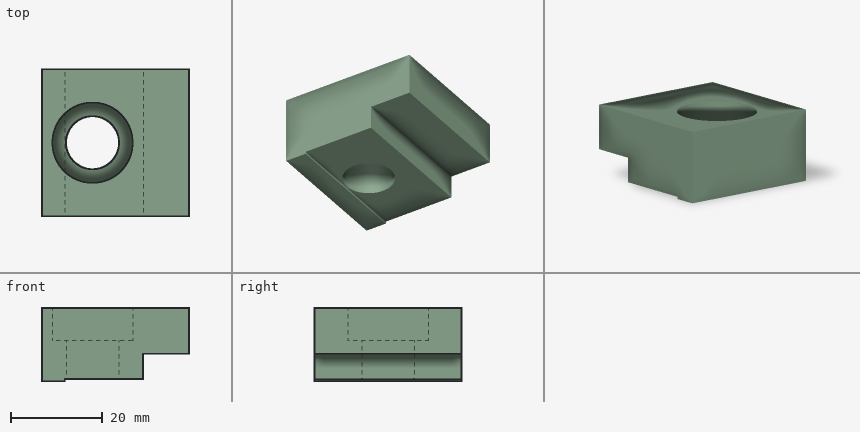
import cadquery as cq

length = 32.0
width = 32.0
height = 16.0

nose_thickness = 10.0
body_length = 22.0
heel_length = 5.0
heel_height = 0.5

hole_x = body_length / 2
hole_y = width / 2
hole_diameter = 11.5
counterbore_diameter = 17.5
counterbore_depth = 7.0


def make_body():
    """Stepped side profile in XZ, extruded across the width from Y = 0."""
    nose_underside = height - nose_thickness
    profile = [
        (0, 0),
        (heel_length, 0),
        (heel_length, heel_height),
        (body_length, heel_height),
        (body_length, nose_underside),
        (length, nose_underside),
        (length, height),
        (0, height),
    ]
    return cq.Workplane("XZ").polyline(profile).close().extrude(-width)


def cut_bolt_hole(body):
    """Counterbored through hole, entered from the top face."""
    return (
        body.faces(">Z")
        .workplane(origin=(hole_x, hole_y, height))
        .cboreHole(hole_diameter, counterbore_diameter, counterbore_depth)
    )


result = cut_bolt_hole(make_body())